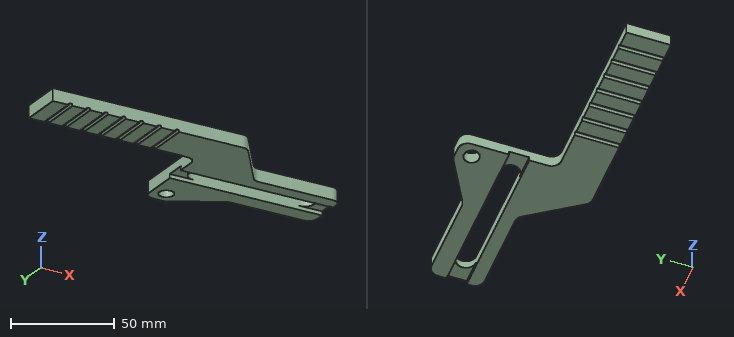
import cadquery as cq

length = 180.0
width = 73.0
thickness = 7.0
corner_radius = 5.0

arm_width = 23.2
arm_lower_end = 109.6

head_left = 94.1
head_bottom = 30.5
head_top = 58.1
head_lower_start = 131.0
ear_top_end = 106.0
ear_slope_end = 132.1

slot_left = 101.9
slot_right = 172.3
slot_width = 10.5
slot_center_y = 43.2
groove_depth = 2.2

hole_diameter = 8.0
hole_y = 65.0

notch_count = 7
last_notch_x = 70.0
notch_pitch = last_notch_x / notch_count
notch_radius = 1.0


def plate():
    """Cranked plate with every corner rounded except the free end of the arm."""
    outline = [
        (0, 0),
        (arm_lower_end, 0),
        (head_lower_start, head_bottom),
        (length, head_bottom),
        (length, head_top),
        (ear_slope_end, head_top),
        (ear_top_end, width),
        (head_left, width),
        (head_left, arm_width),
        (0, arm_width),
    ]
    body = cq.Workplane("XY").polyline(outline).close().extrude(thickness)
    return body.edges("|Z and (not <X)").fillet(corner_radius)


def slot():
    slot_length = slot_right - slot_left
    return (
        cq.Workplane("XY")
        .center((slot_left + slot_right) / 2, slot_center_y)
        .slot2D(slot_length, slot_width)
        .extrude(thickness)
    )


def ear_hole():
    return (
        cq.Workplane("XY")
        .center(slot_left, hole_y)
        .circle(hole_diameter / 2)
        .extrude(thickness)
    )


def underside_groove():
    """Groove as wide as the slot, running the full length of the head."""
    return (
        cq.Workplane("XY")
        .center((head_left + length) / 2, slot_center_y)
        .rect(length - head_left, slot_width)
        .extrude(groove_depth)
    )


def index_notches():
    centers = [(notch_pitch * (i + 1), 0) for i in range(notch_count)]
    return (
        cq.Workplane("XZ")
        .pushPoints(centers)
        .circle(notch_radius)
        .extrude(-arm_width)
    )


result = (
    plate()
    .cut(slot())
    .cut(ear_hole())
    .cut(underside_groove())
    .cut(index_notches())
)